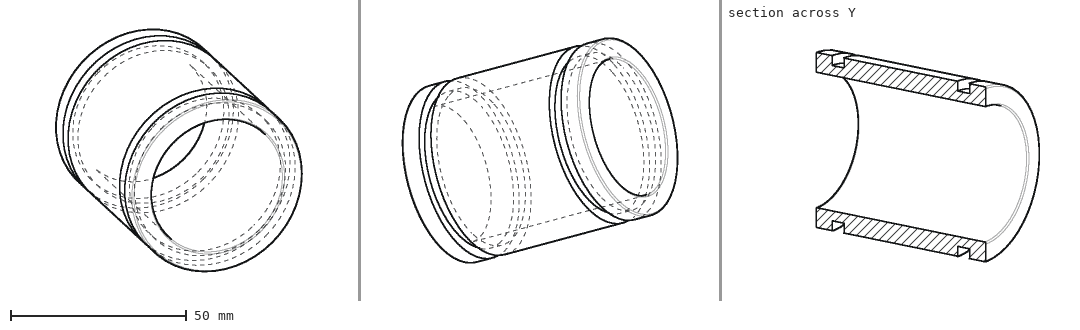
import cadquery as cq

length = 60.0
outer_diameter = 52.0
bore_diameter = 40.0
groove_diameter = 46.2
groove_width = 4.0
end_collar_width = 5.9
edge_radius = 0.5


def cylinder_along_x(diameter, cylinder_length, center_x=0.0):
    """Solid cylinder on the X axis, centred at center_x."""
    start = cq.Workplane("YZ", origin=(center_x - cylinder_length / 2, 0, 0))
    return start.circle(diameter / 2).extrude(cylinder_length)


def groove_ring(center_x):
    """Ring of material removed to form one retaining groove."""
    clearance = 1.2
    blank = cylinder_along_x(outer_diameter + clearance, groove_width, center_x)
    return blank.cut(cylinder_along_x(groove_diameter, groove_width, center_x))


sleeve = cylinder_along_x(outer_diameter, length).cut(cylinder_along_x(bore_diameter, length))
result = sleeve.faces("<X or >X").edges().fillet(edge_radius)

groove_offset = length / 2 - end_collar_width - groove_width / 2
for side in (-1, 1):
    result = result.cut(groove_ring(side * groove_offset))